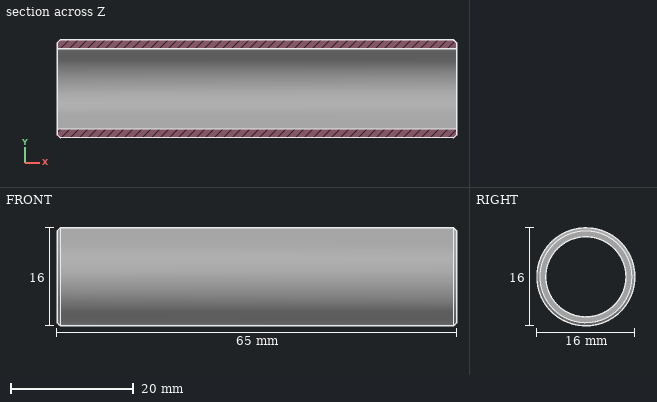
import cadquery as cq

length = 65.0
outer_diameter = 16.0
bore_diameter = 13.0
end_chamfer = 0.5

end_plane = cq.Workplane("YZ", origin=(-length / 2, 0, 0))

bar = (
    end_plane.circle(outer_diameter / 2)
    .extrude(length)
    .faces("<X or >X")
    .edges()
    .chamfer(end_chamfer)
)

bore = end_plane.circle(bore_diameter / 2).extrude(length)

result = bar.cut(bore)